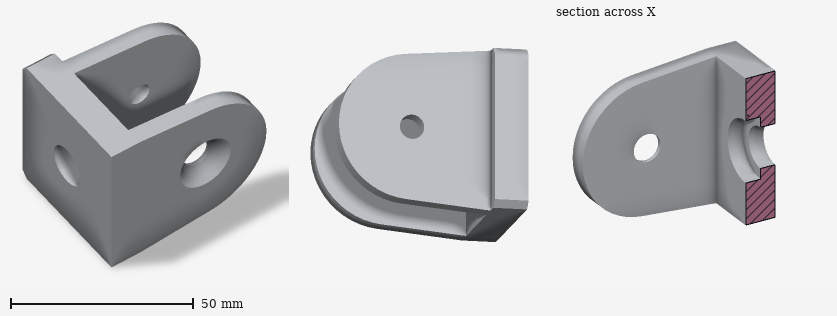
import cadquery as cq
import math

plate_width = 42.2
plate_thickness = 9.5
plate_height = 45.0
corner_chamfer = 2.0
plate_hole_diameter = 12.5
plate_recess_diameter = 19.0
plate_recess_depth = plate_thickness / 2

lug_thickness = 5.5
lug_inset = 5.5
lug_end_radius = 20.5
overall_depth = 52.0
pin_y = overall_depth - lug_end_radius
right_lug_x = plate_width - lug_thickness

left_pin_hole_diameter = 6.8
right_pin_hole_diameter = 8.5
countersink_diameter = 17.0
countersink_angle = 90.0


def make_plate():
    """Plate with its front face on Y = 0 and its two -X corners chamfered."""
    plate = cq.Workplane("XY").box(
        plate_width, plate_thickness, plate_height, centered=(False, False, True)
    )
    return plate.faces("<X").edges("|Y").chamfer(corner_chamfer)


def make_lug(x_start):
    """Lug from the plate's back edges, with flanks tangent to a round end about the pin axis."""
    reach = pin_y - plate_thickness
    half_height = plate_height / 2
    corner_angle = math.atan2(half_height, -reach)
    tangent_angle = corner_angle - math.acos(lug_end_radius / math.hypot(reach, half_height))
    tangent_y = pin_y + lug_end_radius * math.cos(tangent_angle)
    tangent_z = lug_end_radius * math.sin(tangent_angle)

    return (
        cq.Workplane("YZ", origin=(x_start, 0, 0))
        .moveTo(plate_thickness, -half_height)
        .lineTo(tangent_y, -tangent_z)
        .threePointArc((overall_depth, 0), (tangent_y, tangent_z))
        .lineTo(plate_thickness, half_height)
        .close()
        .extrude(lug_thickness)
    )


def plate_bore(diameter, y_start, depth):
    """Cylinder along +Y on the middle of the plate."""
    plane = cq.Workplane("XZ", origin=(plate_width / 2, y_start, 0))
    return plane.circle(diameter / 2).extrude(-depth)


def pin_bore(diameter, x_start, depth):
    """Cylinder along +X on the pin axis."""
    plane = cq.Workplane("YZ", origin=(x_start, pin_y, 0))
    return plane.circle(diameter / 2).extrude(depth)


def make_countersink():
    """Cone on the pin axis, widest at the right lug's outer face."""
    rim_radius = countersink_diameter / 2
    cone_height = rim_radius / math.tan(math.radians(countersink_angle / 2))
    return cq.Workplane(
        cq.Solid.makeCone(
            rim_radius,
            0,
            cone_height,
            pnt=cq.Vector(plate_width, pin_y, 0),
            dir=cq.Vector(-1, 0, 0),
        )
    )


result = make_plate().union(make_lug(lug_inset)).union(make_lug(right_lug_x))

result = result.cut(plate_bore(plate_hole_diameter, 0, plate_thickness))
result = result.cut(
    plate_bore(plate_recess_diameter, plate_thickness - plate_recess_depth, plate_recess_depth)
)

result = result.cut(pin_bore(left_pin_hole_diameter, lug_inset, lug_thickness))
result = result.cut(pin_bore(right_pin_hole_diameter, right_lug_x, lug_thickness))
result = result.cut(make_countersink())